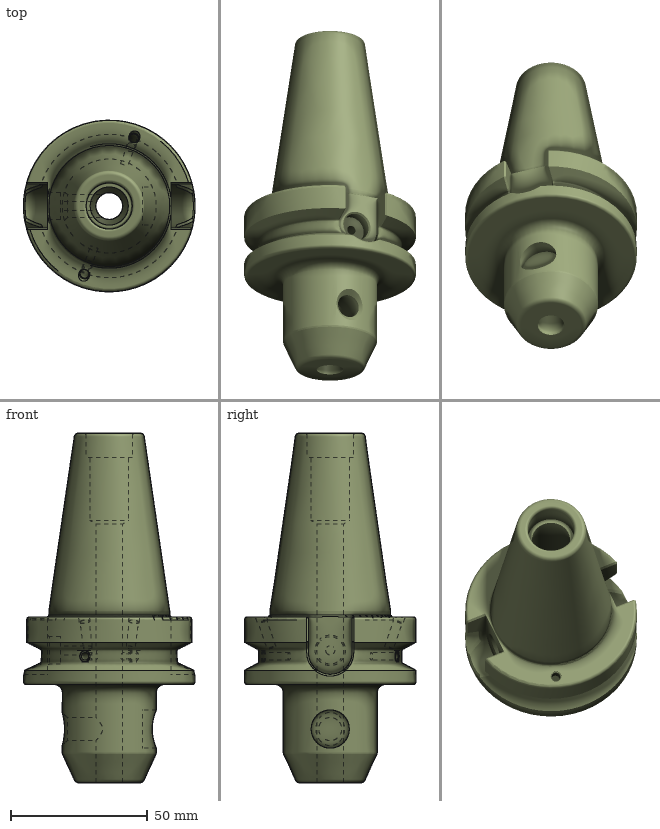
import cadquery as cq
import math

TOTAL_HEIGHT = 128.4
GAUGE_HEIGHT = 63.0
FLANGE_TOP = 61.0
FLANGE_BOTTOM = 36.1

TAPER_RATE = 7 / 24
GAUGE_DIAMETER = 44.4
TAPER_TOP_FILLET = 1.5
TAPER_ROOT_FILLET = 0.6

FLANGE_DIAMETER = 63.0
FLANGE_EDGE_FILLET = 1.2
GROOVE_HEIGHT = 46.5
GROOVE_MOUTH = 10.3
GROOVE_FLOOR = 4.8
GROOVE_DIAMETER = 52.6
GROOVE_FILLET = 0.5

NOSE_DIAMETER = 34.5
NOSE_TIP_DIAMETER = 24.7
NOSE_CONE_HEIGHT = 10.8
NOSE_NECK_FILLET = 3.0
NOSE_SHOULDER_FILLET = 1.5
NOSE_TIP_FILLET = 1.9

BORE_DIAMETER = 9.8
THREAD_DIAMETER = 14.0
THREAD_END_DEPTH = 32.1
DRILL_POINT_ANGLE = 118
COUNTERBORE_DIAMETER = 17.0
COUNTERBORE_DEPTH = 9.0
COUNTERBORE_FILLET = 1.0

SLOT_WIDTH = 16.0
SLOT_FLOOR_X = 22.6
SLOT_CENTRE_HEIGHT = 47.9
SLOT_CHAMFER = 0.6

POCKET_DIAMETER = 10.0
POCKET_DEPTH = 4.6
POCKET_CHAMFER = 0.58
POCKET_HEIGHT = 48.7
POCKET_PILOT_DIAMETER = 3.3

CROSS_HOLE_HEIGHT = 19.8
CLAMP_DIAMETER = 8.5
CLAMP_MOUTH_DIAMETER = 12.2
BLIND_DIAMETER = 14.0
BLIND_DEPTH = 5.1

COOLANT_ANGLE = 70
COOLANT_RADIUS = 27.1
COOLANT_TILT = 20
COOLANT_MOUTH_DIAMETER = 4.0
COOLANT_MOUTH_DEPTH = 1.9
COOLANT_DIAMETER = 3.3
COOLANT_LENGTH = 12.1
VENT_DIAMETER = 2.8
VENT_MOUTH_DEPTH = 0.4
VENT_DEPTH = 10.3

MARGIN = 1.3
TOLERANCE = 0.1


def cylinder(start, direction, diameter, length):
    """Solid cylinder running from a start point along a direction."""
    solid = cq.Solid.makeCylinder(diameter / 2, length, cq.Vector(*start), cq.Vector(*direction))
    return cq.Workplane(solid)


def cone(start, direction, start_diameter, end_diameter, length):
    """Solid cone running from a start point along a direction."""
    start_radius = start_diameter / 2
    end_radius = end_diameter / 2
    solid = cq.Solid.makeCone(start_radius, end_radius, length, cq.Vector(*start), cq.Vector(*direction))
    return cq.Workplane(solid)


def revolve_profile(points):
    """Turn a closed outline of (radius, height) points about the Z axis."""
    return cq.Workplane("XZ").polyline(points).close().revolve(360, (0, 0, 0), (0, 1, 0))


def edges_at(height, diameter):
    """Selector for the circular edge of given height and diameter."""
    reach = diameter / 2 + TOLERANCE
    inner = diameter / 2 - TOLERANCE
    low = height - TOLERANCE
    high = height + TOLERANCE
    outer_box = cq.selectors.BoxSelector((-reach, -reach, low), (reach, reach, high), True)
    inner_box = cq.selectors.BoxSelector((-inner, -inner, low), (inner, inner, high), True)
    return outer_box - inner_box


def make_body():
    """Turned outer shape with its rounded edges."""
    taper_top_diameter = GAUGE_DIAMETER - (TOTAL_HEIGHT - GAUGE_HEIGHT) * TAPER_RATE
    flange_radius = FLANGE_DIAMETER / 2
    groove_radius = GROOVE_DIAMETER / 2
    gauge_radius = GAUGE_DIAMETER / 2
    nose_radius = NOSE_DIAMETER / 2
    body = revolve_profile([
        (0, 0),
        (NOSE_TIP_DIAMETER / 2, 0),
        (nose_radius, NOSE_CONE_HEIGHT),
        (nose_radius, FLANGE_BOTTOM),
        (flange_radius, FLANGE_BOTTOM),
        (flange_radius, GROOVE_HEIGHT - GROOVE_MOUTH / 2),
        (groove_radius, GROOVE_HEIGHT - GROOVE_FLOOR / 2),
        (groove_radius, GROOVE_HEIGHT + GROOVE_FLOOR / 2),
        (flange_radius, GROOVE_HEIGHT + GROOVE_MOUTH / 2),
        (flange_radius, FLANGE_TOP),
        (gauge_radius, FLANGE_TOP),
        (gauge_radius, GAUGE_HEIGHT),
        (taper_top_diameter / 2, TOTAL_HEIGHT),
        (0, TOTAL_HEIGHT),
    ])
    rounded_edges = [
        (0, NOSE_TIP_DIAMETER, NOSE_TIP_FILLET),
        (NOSE_CONE_HEIGHT, NOSE_DIAMETER, NOSE_SHOULDER_FILLET),
        (FLANGE_BOTTOM, NOSE_DIAMETER, NOSE_NECK_FILLET),
        (FLANGE_BOTTOM, FLANGE_DIAMETER, FLANGE_EDGE_FILLET),
        (GROOVE_HEIGHT - GROOVE_FLOOR / 2, GROOVE_DIAMETER, GROOVE_FILLET),
        (GROOVE_HEIGHT + GROOVE_FLOOR / 2, GROOVE_DIAMETER, GROOVE_FILLET),
        (FLANGE_TOP, FLANGE_DIAMETER, FLANGE_EDGE_FILLET),
        (FLANGE_TOP, GAUGE_DIAMETER, TAPER_ROOT_FILLET),
        (TOTAL_HEIGHT, taper_top_diameter, TAPER_TOP_FILLET),
    ]
    for height, diameter, radius in rounded_edges:
        body = body.edges(edges_at(height, diameter)).fillet(radius)
    return body


def cut_bore(body):
    """Stepped through bore: counterbore with a rounded mouth, thread core, drill point and plain bore."""
    bore_radius = BORE_DIAMETER / 2
    thread_radius = THREAD_DIAMETER / 2
    counterbore_radius = COUNTERBORE_DIAMETER / 2
    counterbore_floor = TOTAL_HEIGHT - COUNTERBORE_DEPTH
    thread_end = TOTAL_HEIGHT - THREAD_END_DEPTH
    point_height = (thread_radius - bore_radius) / math.tan(math.radians(DRILL_POINT_ANGLE / 2))
    bore = revolve_profile([
        (0, 0),
        (bore_radius, 0),
        (bore_radius, thread_end - point_height),
        (thread_radius, thread_end),
        (thread_radius, counterbore_floor),
        (counterbore_radius, counterbore_floor),
        (counterbore_radius, TOTAL_HEIGHT),
        (0, TOTAL_HEIGHT),
    ])
    mouth_edge = edges_at(TOTAL_HEIGHT, COUNTERBORE_DIAMETER)
    return body.cut(bore).edges(mouth_edge).fillet(COUNTERBORE_FILLET)


def make_slot():
    """Round-bottomed drive slot on the +X side, open at the top and outwards."""
    length = FLANGE_DIAMETER / 2 + MARGIN - SLOT_FLOOR_X
    top_length = FLANGE_TOP + MARGIN - SLOT_CENTRE_HEIGHT
    centre_x = SLOT_FLOOR_X + length / 2
    straight = cq.Workplane("XY").box(length, SLOT_WIDTH, top_length, centered=(True, True, False))
    straight = straight.translate((centre_x, 0, SLOT_CENTRE_HEIGHT))
    return straight.union(cylinder((SLOT_FLOOR_X, 0, SLOT_CENTRE_HEIGHT), (1, 0, 0), SLOT_WIDTH, length))


def slot_rim_edges(low, high):
    """Selector for the open edges of both slots whose middles lie between two heights."""
    start = SLOT_FLOOR_X + TOLERANCE
    end = FLANGE_DIAMETER / 2
    side = SLOT_WIDTH / 2 + TOLERANCE
    plus_x = cq.selectors.BoxSelector((start, -side, low), (end, side, high))
    minus_x = cq.selectors.BoxSelector((-end, -side, low), (-start, side, high))
    return plus_x + minus_x


def cut_slots(body):
    """Cut both drive slots and break their edges."""
    slot = make_slot()
    body = body.cut(slot).cut(slot.rotate((0, 0, 0), (0, 0, 1), 180))
    groove_top = GROOVE_HEIGHT + GROOVE_MOUTH / 2
    for rim in (
        slot_rim_edges(groove_top + MARGIN, FLANGE_TOP + MARGIN),
        slot_rim_edges(FLANGE_BOTTOM, GROOVE_HEIGHT - GROOVE_FLOOR / 2),
    ):
        body = body.edges(rim).chamfer(SLOT_CHAMFER)
    return body


def cut_slot_pocket(body):
    """Chamfered flat pocket in the -X slot wall, with a small hole on to the bore."""
    inward = (1, 0, 0)
    mouth = (-SLOT_FLOOR_X, 0, POCKET_HEIGHT)
    mouth_diameter = POCKET_DIAMETER + 2 * POCKET_CHAMFER
    return (
        body.cut(cylinder(mouth, inward, POCKET_DIAMETER, POCKET_DEPTH))
        .cut(cone(mouth, inward, mouth_diameter, POCKET_DIAMETER, POCKET_CHAMFER))
        .cut(cylinder(mouth, inward, POCKET_PILOT_DIAMETER, SLOT_FLOOR_X))
    )


def cut_nose_holes(body):
    """Countersunk clamp-screw hole on -X and a shallow blind hole on +X."""
    nose_radius = NOSE_DIAMETER / 2
    inward = (1, 0, 0)
    mouth = (-nose_radius, 0, CROSS_HOLE_HEIGHT)
    sink_depth = (CLAMP_MOUTH_DIAMETER - CLAMP_DIAMETER) / 2
    blind_floor = (nose_radius - BLIND_DEPTH, 0, CROSS_HOLE_HEIGHT)
    return (
        body.cut(cylinder(mouth, inward, CLAMP_DIAMETER, nose_radius))
        .cut(cone(mouth, inward, CLAMP_MOUTH_DIAMETER, CLAMP_DIAMETER, sink_depth))
        .cut(cylinder(blind_floor, inward, BLIND_DIAMETER, BLIND_DEPTH + MARGIN))
    )


def make_coolant_holes():
    """Inclined hole from the flange top and radial hole from the groove, on the +X radius."""
    tilt = math.radians(COOLANT_TILT)
    down = (-math.sin(tilt), 0, -math.cos(tilt))
    start = (COOLANT_RADIUS - MARGIN * down[0], 0, FLANGE_TOP - MARGIN * down[2])
    inclined = cylinder(start, down, COOLANT_DIAMETER, MARGIN + COOLANT_LENGTH)
    inclined_mouth = cylinder(start, down, COOLANT_MOUTH_DIAMETER, MARGIN + COOLANT_MOUTH_DEPTH)
    outside = (GROOVE_DIAMETER / 2 + MARGIN, 0, GROOVE_HEIGHT)
    inward = (-1, 0, 0)
    vent = cylinder(outside, inward, VENT_DIAMETER, MARGIN + VENT_DEPTH)
    vent_mouth = cylinder(outside, inward, COOLANT_MOUTH_DIAMETER, MARGIN + VENT_MOUTH_DEPTH)
    return inclined.union(inclined_mouth).union(vent).union(vent_mouth)


def cut_coolant_holes(body):
    """Place the coolant holes twice, on opposite sides of the flange."""
    holes = make_coolant_holes()
    for turn in (0, 180):
        body = body.cut(holes.rotate((0, 0, 0), (0, 0, 1), COOLANT_ANGLE + turn))
    return body


result = make_body()
result = cut_bore(result)
result = cut_slots(result)
result = cut_slot_pocket(result)
result = cut_nose_holes(result)
result = cut_coolant_holes(result)